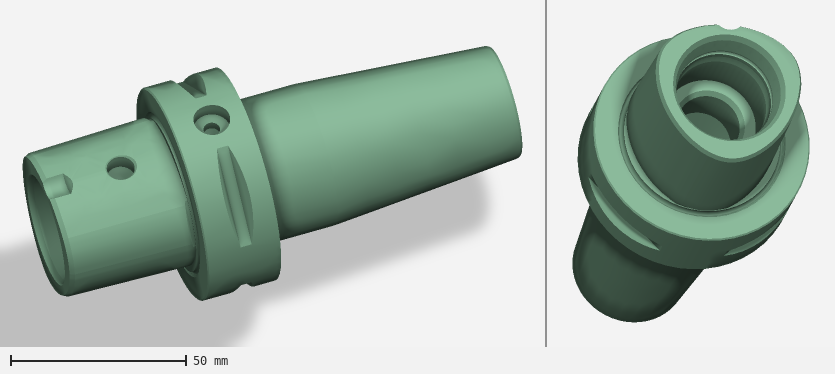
import cadquery as cq
import math


flange_diameter = 63.0
flange_radius = flange_diameter / 2
flange_width = 22.1
flange_bevel = 0.4
body_radius = 21.0
body_fillet = 4.4
body_end_y = 42.8
nose_end_y = 100.0
nose_radius = 16.7
nose_bevel_length = 0.8
nose_bevel_depth = 0.4

shank_length = 38.0
shank_mean_radius = 22.1
lobe_height = 1.2
lobe_half_angle = 25.0
flank_half_angle = 60.0 - lobe_half_angle
taper_slope = 1 / 40
straight_length = 2.2
end_bevel_length = 1.4
end_bevel_depth = 0.7
relief_radius = 22.5
relief_length = 1.2

collar_radius = 22.8
collar_height = 0.4
groove_outer_radius = 24.4

mouth_radius = 16.4
entry_radius = 15.3
mouth_bevel_length = 1.7
entry_depth = 6.5
lip_radius = 14.1
seal_groove_radius = 15.0
seal_groove_start = 7.2
seal_groove_width = 2.0
lip_end_depth = 10.9
cavity_radius = 13.5
cavity_start_depth = 13.4
cavity_depth = 27.6
drill_mouth_radius = 10.4
drill_radius = 9.1
drill_depth = 41.4
drill_tip_angle = 118.0

slot_mid_y = 12.0
slot_floor_distance = 27.9
slot_floor_width = 3.3
slot_side_angle = 30.0
slot_angles = (45, 135, 225, 315)

pocket_y = slot_mid_y
pocket_radius = 5.2
pocket_depth = 5.0
pocket_hole_radius = 2.3
pocket_hole_depth = 2.8

radial_hole_radius = 4.0
radial_hole_rim_radius = 4.5
radial_hole_y = -15.5
radial_hole_floor_z = 15.2
radial_hole_tip_angle = 140.0
notch_radius = 4.5
notch_floor_z = 18.0
notch_length = 6.3
notch_tip_angle = 110.0


def tip_length(radius, tip_angle):
    """Length of a drill tip with the given full angle."""
    return radius / math.tan(math.radians(tip_angle / 2))


def revolve_profile(profile):
    """Revolve an (r, y) profile drawn in the XY plane about the Y axis, its seam turned to +Z."""
    solid = profile.close().revolve(360, (0, 0, 0), (0, 1, 0))
    return solid.rotate((0, 0, 0), (0, 1, 0), -90)


def lobe_point(angle, mean_radius):
    """Point of the three-lobed curve whose outward normal is `angle` degrees from -Z."""
    turn = math.radians(angle)
    reach = mean_radius + lobe_height * math.cos(3 * turn)
    slide = -3 * lobe_height * math.sin(3 * turn)
    x = reach * math.sin(turn) + slide * math.cos(turn)
    down = reach * math.cos(turn) - slide * math.sin(turn)
    return x, -down


def lobe_wire(y, mean_radius):
    """Closed three-lobed outline at height y, one spline per lobe and per flank."""
    edges = []
    points_per_arc = 9
    for index in range(3):
        lobe_centre = 120 * index
        arcs = ((lobe_centre, lobe_half_angle), (lobe_centre + 60, flank_half_angle))
        for centre, half_angle in arcs:
            points = []
            tangents = []
            for step in range(points_per_arc):
                angle = centre - half_angle + 2 * half_angle * step / (points_per_arc - 1)
                x, z = lobe_point(angle, mean_radius)
                points.append(cq.Vector(x, y, z))
            for angle in (centre - half_angle, centre + half_angle):
                turn = math.radians(angle)
                tangents.append(cq.Vector(math.cos(turn), 0, math.sin(turn)))
            edges.append(cq.Edge.makeSpline(points, tangents=tangents))
    return cq.Wire.assembleEdges(edges)


def lobe_loft(start_y, start_radius, end_y, end_radius):
    """Ruled solid between two three-lobed outlines."""
    wires = [lobe_wire(start_y, start_radius), lobe_wire(end_y, end_radius)]
    return cq.Workplane(obj=cq.Solid.makeLoft(wires, True))


def make_body():
    profile = (
        cq.Workplane("XY")
        .moveTo(0, 0)
        .lineTo(flange_radius - flange_bevel, 0)
        .lineTo(flange_radius, flange_bevel)
        .lineTo(flange_radius, flange_width)
        .lineTo(body_radius + body_fillet, flange_width)
        .radiusArc((body_radius, flange_width + body_fillet), body_fillet)
        .lineTo(body_radius, body_end_y)
        .lineTo(nose_radius, nose_end_y - nose_bevel_length)
        .lineTo(nose_radius - nose_bevel_depth, nose_end_y)
        .lineTo(0, nose_end_y)
    )
    return revolve_profile(profile)


def make_root_groove():
    """Half-round ring groove cut into the flange face around the collar."""
    groove_radius = (groove_outer_radius - collar_radius) / 2
    return cq.Workplane(
        obj=cq.Solid.makeTorus(
            collar_radius + groove_radius, groove_radius, cq.Vector(0, 0, 0), cq.Vector(0, 1, 0)
        )
    )


def make_shank():
    bevel_y = -shank_length + end_bevel_length
    taper_length = shank_length - end_bevel_length - straight_length
    bevel_radius = shank_mean_radius - taper_slope * taper_length
    end_radius = bevel_radius - end_bevel_depth
    root = lobe_loft(flange_bevel, shank_mean_radius, -straight_length, shank_mean_radius)
    cone_growth = straight_length - relief_length
    relief = revolve_profile(
        cq.Workplane("XY")
        .moveTo(0, flange_bevel)
        .lineTo(relief_radius, flange_bevel)
        .lineTo(relief_radius, -relief_length)
        .lineTo(relief_radius + cone_growth, -straight_length)
        .lineTo(0, -straight_length)
    )
    collar = cq.Workplane("XZ").circle(collar_radius).extrude(collar_height)
    taper = lobe_loft(-straight_length, shank_mean_radius, bevel_y, bevel_radius)
    bevel = lobe_loft(bevel_y, bevel_radius, -shank_length, end_radius)
    return root.intersect(relief).union(collar).union(taper).union(bevel)


def make_bore():
    drill_bevel = drill_mouth_radius - drill_radius
    seal_groove_end = seal_groove_start + seal_groove_width
    drill_tip_depth = drill_depth + tip_length(drill_radius, drill_tip_angle)
    profile = (
        cq.Workplane("XY", origin=(0, -shank_length, 0))
        .moveTo(0, 0)
        .lineTo(mouth_radius, 0)
        .lineTo(entry_radius, mouth_bevel_length)
        .lineTo(lip_radius, entry_depth)
        .lineTo(lip_radius, seal_groove_start)
        .lineTo(seal_groove_radius, seal_groove_start)
        .lineTo(seal_groove_radius, seal_groove_end)
        .lineTo(lip_radius, seal_groove_end)
        .lineTo(lip_radius, lip_end_depth)
        .lineTo(cavity_radius, cavity_start_depth)
        .lineTo(cavity_radius, cavity_depth)
        .lineTo(drill_mouth_radius, cavity_depth)
        .lineTo(drill_radius, cavity_depth + drill_bevel)
        .lineTo(drill_radius, drill_depth)
        .lineTo(0, drill_tip_depth)
    )
    return revolve_profile(profile)


def make_grip_slot(angle):
    """Trapezoid channel across the flange, its floor facing `angle` degrees about Y."""
    depth = flange_radius - slot_floor_distance
    floor_half = slot_floor_width / 2
    top_half = floor_half + depth * math.tan(math.radians(slot_side_angle))
    return (
        cq.Workplane("YZ")
        .polyline([
            (slot_mid_y - floor_half, slot_floor_distance),
            (slot_mid_y + floor_half, slot_floor_distance),
            (slot_mid_y + top_half, flange_radius),
            (slot_mid_y - top_half, flange_radius),
        ])
        .close()
        .extrude(flange_radius, both=True)
        .rotate((0, 0, 0), (0, 1, 0), angle)
    )


def make_pocket():
    floor_z = flange_radius - pocket_depth
    floor_centre = (0, pocket_y, floor_z)
    pocket = cq.Workplane("XY", origin=floor_centre).circle(pocket_radius).extrude(flange_radius)
    hole = make_drill(floor_centre, (0, 0, -1), pocket_hole_radius, pocket_hole_depth, drill_tip_angle)
    return pocket.union(hole)


def make_drill(start, direction, radius, length, tip_angle):
    """Drilled hole with a conical end."""
    origin = cq.Vector(*start)
    axis = cq.Vector(*direction)
    barrel = cq.Solid.makeCylinder(radius, length, origin, axis)
    tip_start = origin + axis * length
    tip = cq.Solid.makeCone(radius, 0, tip_length(radius, tip_angle), tip_start, axis)
    return cq.Workplane(obj=barrel.fuse(tip))


def make_radial_hole():
    """Blind hole into the upper flat of the shank, with a bevelled rim."""
    start = (0, radial_hole_y, flange_radius)
    length = flange_radius - radial_hole_floor_z
    hole = make_drill(start, (0, 0, -1), radial_hole_radius, length, radial_hole_tip_angle)
    taper_drop = taper_slope * (-radial_hole_y - straight_length)
    surface_z = shank_mean_radius - lobe_height - taper_drop
    rim_bevel = radial_hole_rim_radius - radial_hole_radius
    countersink = cq.Solid.makeCone(
        radial_hole_radius,
        radial_hole_rim_radius + rim_bevel,
        2 * rim_bevel,
        cq.Vector(0, radial_hole_y, surface_z - rim_bevel),
        cq.Vector(0, 0, 1),
    )
    return hole.union(cq.Workplane(obj=countersink))


def make_notch():
    start = (0, -shank_length, notch_floor_z + notch_radius)
    return make_drill(start, (0, 1, 0), notch_radius, notch_length, notch_tip_angle)


result = make_body().cut(make_root_groove()).union(make_shank()).cut(make_bore())
for slot_angle in slot_angles:
    result = result.cut(make_grip_slot(slot_angle))
result = result.cut(make_pocket()).cut(make_radial_hole()).cut(make_notch())